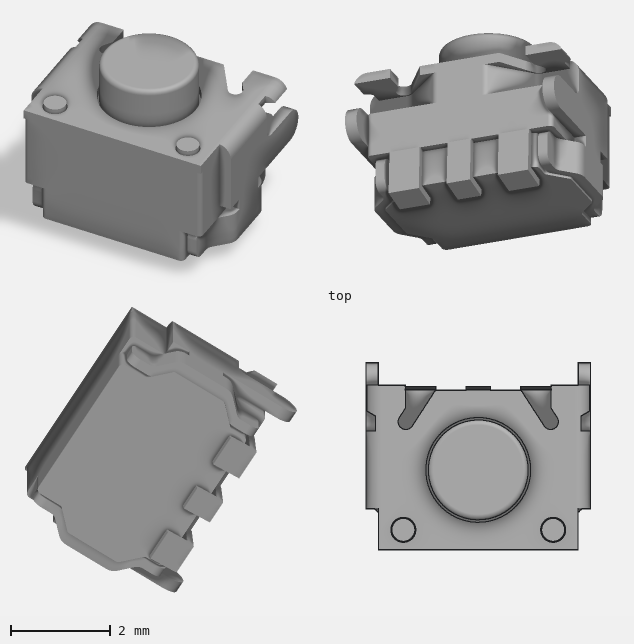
import math

import cadquery as cq

SKIRT_TOP = 0.75
ARM_BOTTOM = 1.0
TAB_TOP = 1.7
RECESS_FLOOR = 1.68
COVER_TOP = 2.55
BUTTON_TOP = 3.4
PEG_TOP = 2.65

COVER_T = 0.2
ARM_T = 0.25
FOLD_R = 0.3
COVER_BOTTOM = COVER_TOP - COVER_T
ARM_OUTER_X = 2.25
COVER_BACK_Y = 1.7
ARM_FRONT_Y = -0.78
TAB_TIP_Y = 2.15

BODY_HALF_X = ARM_OUTER_X - ARM_T
BODY_HALF_Y = 1.6
BODY_CORNER_R = 0.1
SKIRT_BACK_Y = 1.4
SKIRT_END_X = 1.6
SKIRT_BEND_Y = 0.55
SKIRT_BEND_R = 0.1
RECESS_REACH = 2.15
RECESS_FRONT_Y = 0.78
RECESS_INSIDE_R = 0.2
RECESS_EDGE_R = 0.15

NOTCH_FRONT_Y = RECESS_FRONT_Y
NOTCH_CORNER_R = 0.2
RELIEF_X = 2.06
RELIEF_BACK_Y = 1.08
RELIEF_OUTER_Y = 1.19

SLOT_INNER_X = 0.855
SLOT_OUTER_X = 1.458
SLOT_R = 0.155
SLOT_CENTER = (1.45, 0.965)

STRAP_T = 0.2
STRAP_BOTTOM = 0.05
STRAP_HALF_Y = 1.5
STRAP_END_R = 0.2
STRAP_BEND_Y = 0.48
STRAP_END_X = 1.85
OUTER_BEND_R = 0.3
INNER_BEND_R = 0.2
TONGUE_HALF_Y = 0.4

BUTTON_D = 2.0
BUTTON_HOLE_D = 2.1
BUTTON_FILLET = 0.1
PEG_D = 0.46
PEG_HOLE_D = 0.5
PEG_POSITIONS = [(-1.5, -1.2), (1.5, -1.2)]

LEAD_BOTTOM = -0.27
LEAD_T = 0.15
LEAD_TOP_Y = 1.62
LEAD_LEAN = 0.05
LEAD_HEEL_Z = -0.18
LEAD_TOE_Y = 1.055
LEADS = [(-1.175, 0.65), (0.0, 0.5), (1.175, 0.65)]


def block(x0, x1, y0, y1, z0, z1):
    return cq.Workplane("XY").box(x1 - x0, y1 - y0, z1 - z0, centered=False).translate((x0, y0, z0))


def both_sides(shape):
    """Join a +X shape with its mirror image."""
    return shape.union(shape.mirror("YZ"))


def bent_side(flat_x, flat_y, end_x, convex_r, concave_r):
    """Start, middle and end of the two 45 degree bends that step a side wall in towards its end.

    The wall is flat at flat_x up to flat_y, slants inwards and is flat again at end_x.
    """
    convex_center = (flat_x - convex_r, flat_y)
    concave_x = end_x + concave_r
    concave_center = (concave_x, sum(convex_center) + (convex_r + concave_r) * math.sqrt(2) - concave_x)

    def on_arc(center, radius, degrees):
        angle = math.radians(degrees)
        return (center[0] + radius * math.cos(angle), center[1] + radius * math.sin(angle))

    convex = [on_arc(convex_center, convex_r, a) for a in (0, 22.5, 45)]
    concave = [on_arc(concave_center, concave_r, a) for a in (225, 202.5, 180)]
    return convex, concave


def flip(point):
    return (point[0], -point[1])


def bent_prism(bends, y_front, y_back, height):
    """Prism from X = 0 out to a side wall that is bent in at both ends."""
    convex, concave = bends
    end_x = concave[2][0]
    return (
        cq.Workplane("XY")
        .moveTo(0, y_back)
        .lineTo(end_x, y_back)
        .lineTo(*concave[2])
        .threePointArc(concave[1], concave[0])
        .lineTo(*convex[2])
        .threePointArc(convex[1], convex[0])
        .lineTo(*flip(convex[0]))
        .threePointArc(flip(convex[1]), flip(convex[2]))
        .lineTo(*flip(concave[0]))
        .threePointArc(flip(concave[1]), flip(concave[2]))
        .lineTo(end_x, y_front)
        .lineTo(0, y_front)
        .close()
        .extrude(height)
    )


def make_slot_outline(back_y):
    """Outline of one +X rear slot, opening out to back_y."""
    cx, cy = SLOT_CENTER
    run_x, run_y = cx - SLOT_INNER_X, BODY_HALF_Y - cy
    tilt = math.atan2(run_y, run_x) + math.asin(SLOT_R / math.hypot(run_x, run_y))
    normal = (math.sin(tilt), math.cos(tilt))
    inner_tangent = (cx - SLOT_R * normal[0], cy - SLOT_R * normal[1])
    outer_tangent = (cx + SLOT_R * normal[0], cy + SLOT_R * normal[1])
    round_end = (cx + SLOT_R * math.cos(tilt), cy - SLOT_R * math.sin(tilt))
    outer_y = outer_tangent[1] + (outer_tangent[0] - SLOT_OUTER_X) * math.tan(tilt)
    return (
        cq.Workplane("XY")
        .moveTo(SLOT_INNER_X, back_y)
        .lineTo(SLOT_INNER_X, BODY_HALF_Y)
        .lineTo(*inner_tangent)
        .threePointArc(round_end, outer_tangent)
        .lineTo(SLOT_OUTER_X, outer_y)
        .lineTo(SLOT_OUTER_X, back_y)
        .close()
    )


def make_housing():
    upper = block(-BODY_HALF_X, BODY_HALF_X, -BODY_HALF_Y, BODY_HALF_Y, SKIRT_TOP, COVER_BOTTOM)
    upper = upper.edges("|Z").fillet(BODY_CORNER_R)

    bends = bent_side(BODY_HALF_X, SKIRT_BEND_Y, SKIRT_END_X, SKIRT_BEND_R, SKIRT_BEND_R)
    skirt = bent_prism(bends, -BODY_HALF_Y, SKIRT_BACK_Y, SKIRT_TOP)
    for y in (SKIRT_BACK_Y, -BODY_HALF_Y):
        corner = cq.selectors.NearestToPointSelector((SKIRT_END_X, y, SKIRT_TOP / 2))
        skirt = skirt.edges("|Z").edges(corner).fillet(BODY_CORNER_R)
    housing = upper.union(both_sides(skirt)).cut(both_sides(make_corner_recess()))

    for side in (-1, 1):
        edge_x = side * (RECESS_REACH - BODY_HALF_Y)
        edge = cq.selectors.NearestToPointSelector((edge_x, BODY_HALF_Y, (RECESS_FLOOR + COVER_BOTTOM) / 2))
        housing = housing.edges("|Z").edges(edge).fillet(RECESS_EDGE_R)
    return housing


def make_corner_recess():
    """Opening cut across a rear corner of the housing at 45 degrees, above the tab."""
    inside = (RECESS_REACH - RECESS_FRONT_Y, RECESS_FRONT_Y)
    recess = (
        cq.Workplane("XY", origin=(0, 0, RECESS_FLOOR))
        .polyline([
            (RECESS_REACH - BODY_HALF_Y, BODY_HALF_Y),
            inside,
            (BODY_HALF_X, RECESS_FRONT_Y),
            (BODY_HALF_X, BODY_HALF_Y),
        ])
        .close()
        .extrude(COVER_BOTTOM - RECESS_FLOOR)
    )
    corner = cq.selectors.NearestToPointSelector((*inside, (RECESS_FLOOR + COVER_BOTTOM) / 2))
    return recess.edges("|Z").edges(corner).fillet(RECESS_INSIDE_R)


def make_cover_plate():
    fold_z = COVER_TOP - FOLD_R
    fold_x = ARM_OUTER_X - FOLD_R
    drop = FOLD_R * math.sin(math.radians(45))
    half = (
        cq.Workplane("XZ", origin=(0, COVER_BACK_Y, 0))
        .moveTo(0, COVER_TOP)
        .lineTo(fold_x, COVER_TOP)
        .threePointArc((fold_x + drop, fold_z + drop), (ARM_OUTER_X, fold_z))
        .lineTo(ARM_OUTER_X, ARM_BOTTOM)
        .lineTo(BODY_HALF_X, ARM_BOTTOM)
        .lineTo(BODY_HALF_X, COVER_BOTTOM)
        .lineTo(0, COVER_BOTTOM)
        .close()
        .extrude(COVER_BACK_Y + BODY_HALF_Y)
    )
    half = half.cut(block(BODY_HALF_X, ARM_OUTER_X, -BODY_HALF_Y, ARM_FRONT_Y, ARM_BOTTOM, COVER_TOP))
    half = half.cut(block(0, SLOT_INNER_X, BODY_HALF_Y, COVER_BACK_Y, COVER_BOTTOM, COVER_TOP))
    slot = make_slot_outline(COVER_BACK_Y)
    half = half.cut(slot.extrude(COVER_TOP))
    return half.cut(make_arm_notch())


def make_arm_notch():
    """Opening above the tab, with a relief cut into the fold at its front end."""
    window = block(BODY_HALF_X, ARM_OUTER_X, NOTCH_FRONT_Y, COVER_BACK_Y, TAB_TOP, COVER_BOTTOM)
    window = window.edges("|X and <Y and <Z").fillet(NOTCH_CORNER_R)
    relief = (
        cq.Workplane("XY", origin=(0, 0, COVER_BOTTOM))
        .polyline([
            (RELIEF_X, NOTCH_FRONT_Y),
            (ARM_OUTER_X, NOTCH_FRONT_Y),
            (ARM_OUTER_X, RELIEF_OUTER_Y),
            (RELIEF_X, RELIEF_BACK_Y),
        ])
        .close()
        .extrude(COVER_T)
    )
    return window.union(relief)


def make_tab():
    radius = (TAB_TOP - ARM_BOTTOM) / 2
    tab = block(BODY_HALF_X, ARM_OUTER_X, NOTCH_FRONT_Y, TAB_TIP_Y - radius, ARM_BOTTOM, TAB_TOP)
    tip = (
        cq.Workplane("YZ", origin=(BODY_HALF_X, TAB_TIP_Y - radius, ARM_BOTTOM + radius))
        .circle(radius)
        .extrude(ARM_T)
    )
    return tab.union(tip)


def make_strap():
    outer_bends = bent_side(ARM_OUTER_X, STRAP_BEND_Y, STRAP_END_X, OUTER_BEND_R, INNER_BEND_R)
    inner_bends = bent_side(
        BODY_HALF_X,
        STRAP_BEND_Y,
        STRAP_END_X - STRAP_T,
        OUTER_BEND_R - STRAP_T,
        INNER_BEND_R + STRAP_T,
    )
    outer = bent_prism(outer_bends, -STRAP_HALF_Y, STRAP_HALF_Y, SKIRT_TOP)
    inner = bent_prism(inner_bends, -STRAP_HALF_Y, STRAP_HALF_Y, SKIRT_TOP)
    side_shape = block(0, ARM_OUTER_X, -STRAP_HALF_Y, STRAP_HALF_Y, STRAP_BOTTOM, SKIRT_TOP)
    side_shape = side_shape.edges("|X").fillet(STRAP_END_R)
    tongue = block(BODY_HALF_X, ARM_OUTER_X, -TONGUE_HALF_Y, TONGUE_HALF_Y, SKIRT_TOP, ARM_BOTTOM)
    return outer.cut(inner).intersect(side_shape).union(tongue)


def drill_cover(shape):
    """Clearance holes for the button and pegs, down to the top of the housing."""
    cutter = cq.Workplane("XY", origin=(0, 0, COVER_BOTTOM)).circle(BUTTON_HOLE_D / 2).extrude(COVER_T)
    pegs = (
        cq.Workplane("XY", origin=(0, 0, COVER_BOTTOM))
        .pushPoints(PEG_POSITIONS)
        .circle(PEG_HOLE_D / 2)
        .extrude(COVER_T)
    )
    return shape.cut(cutter).cut(pegs)


def make_button():
    button = cq.Workplane("XY", origin=(0, 0, COVER_BOTTOM)).circle(BUTTON_D / 2)
    return button.extrude(BUTTON_TOP - COVER_BOTTOM).faces(">Z").edges().fillet(BUTTON_FILLET)


def make_pegs():
    pegs = cq.Workplane("XY", origin=(0, 0, COVER_BOTTOM)).pushPoints(PEG_POSITIONS)
    return pegs.circle(PEG_D / 2).extrude(PEG_TOP - COVER_BOTTOM)


def make_lead(center_x, width):
    """J-shaped lead hanging from the back of the housing, its foot pointing forward."""
    heel = (LEAD_TOP_Y + LEAD_LEAN, LEAD_HEEL_Z)
    toe = (LEAD_TOE_Y, LEAD_BOTTOM)
    foot_angle = math.atan2(heel[1] - toe[1], heel[0] - toe[0])
    toe_top = (toe[0] - LEAD_T * math.sin(foot_angle), toe[1] + LEAD_T * math.cos(foot_angle))
    inner_y = heel[0] - LEAD_T
    inside = (inner_y, toe_top[1] + (inner_y - toe_top[0]) * math.tan(foot_angle))
    return (
        cq.Workplane("YZ", origin=(center_x, 0, 0))
        .polyline([
            (LEAD_TOP_Y, SKIRT_TOP),
            heel,
            toe,
            toe_top,
            inside,
            (LEAD_TOP_Y - LEAD_T, SKIRT_TOP),
        ])
        .close()
        .extrude(width / 2, both=True)
    )


cover = drill_cover(both_sides(make_cover_plate()))
result = make_housing().union(cover)
result = result.union(both_sides(make_tab())).union(both_sides(make_strap()))
result = result.union(make_button()).union(make_pegs())
for lead_x, lead_width in LEADS:
    result = result.union(make_lead(lead_x, lead_width))
result = result.clean()